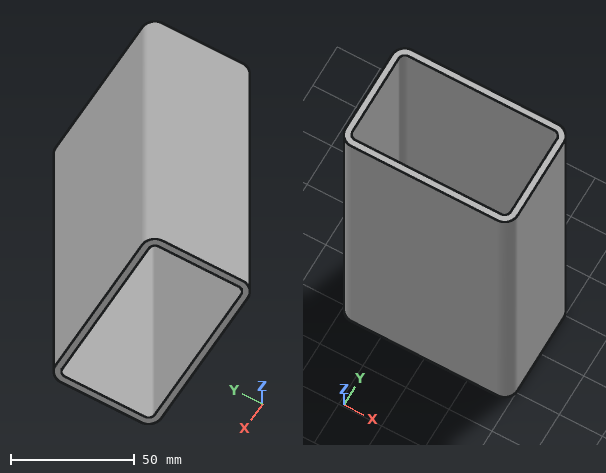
import cadquery as cq

width = 80.0
depth = 50.0
height = 160.0
wall = 3.2
outer_radius = 6.0
inner_radius = outer_radius - wall


def rounded_bar(size_x, size_y, corner_radius):
    """Upright bar of full height with rounded vertical edges."""
    bar = cq.Workplane("XY").rect(size_x, size_y).extrude(height)
    return bar.edges("|Z").fillet(corner_radius)


outer_bar = rounded_bar(width, depth, outer_radius)
bore = rounded_bar(width - 2 * wall, depth - 2 * wall, inner_radius)

result = outer_bar.cut(bore)